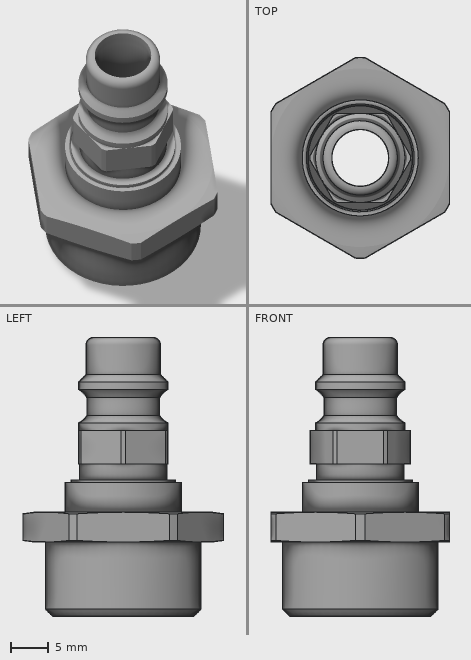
import cadquery as cq
import math

bore_diameter = 7.6

total_height = 37.5
tip_diameter = 10.0
tip_rounding = 1.0
collar_diameter = 12.0
collar_top = 31.5
collar_bottom = 30.5
groove_diameter = 9.75
groove_top = 29.4
groove_bottom = 27.0
groove_blend_radius = 3.0
shoulder_top = 26.0

small_hex_bottom = 20.5
small_hex_top = 25.0
small_hex_flats = 12.0
small_hex_corners = 13.5

neck_diameter = 11.8
flange_diameter = 14.0
flange_top = 18.35

sleeve_diameter = 15.6
sleeve_top = 18.0
sleeve_bore_diameter = 14.1
sleeve_mouth_diameter = 14.5

large_hex_bottom = 10.0
large_hex_top = 14.0
large_hex_flats = 24.0
large_hex_corners = 27.0
large_hex_chamfer_angle = 8.0
large_hex_turn = 30.0

thread_diameter = 20.95
thread_chamfer = 1.0


def cylinder(diameter, bottom, top):
    """Upright cylinder on the Z axis between two heights."""
    return cq.Workplane("XY").workplane(offset=bottom).circle(diameter / 2).extrude(top - bottom)


def hexagon(across_flats, corner_diameter, bottom, top):
    """Upright hexagon with a corner on +X, its corners turned down to a diameter."""
    sharp_diameter = across_flats / math.cos(math.pi / 6)
    prism = cq.Workplane("XY").workplane(offset=bottom).polygon(6, sharp_diameter).extrude(top - bottom)
    return prism.intersect(cylinder(corner_diameter, bottom, top))


def nipple():
    """Turned plug profile: rounded tip, coned collar, and a groove with concave ends."""
    tip_radius = tip_diameter / 2
    collar_radius = collar_diameter / 2
    groove_radius = groove_diameter / 2
    collar_cone = collar_radius - tip_radius
    profile = (
        cq.Workplane("XZ")
        .moveTo(0, small_hex_top)
        .lineTo(collar_radius, small_hex_top)
        .lineTo(collar_radius, shoulder_top)
        .radiusArc((groove_radius, groove_bottom), groove_blend_radius)
        .lineTo(groove_radius, groove_top)
        .radiusArc((collar_radius, collar_bottom), groove_blend_radius)
        .lineTo(collar_radius, collar_top)
        .lineTo(tip_radius, collar_top + collar_cone)
        .lineTo(tip_radius, total_height - tip_rounding)
        .radiusArc((tip_radius - tip_rounding, total_height), -tip_rounding)
        .lineTo(0, total_height)
        .close()
    )
    return profile.revolve(360, (0, 0, 0), (0, 1, 0))


def large_hexagon():
    """Large hexagon with flats facing +X and -X, both faces chamfered outside the flats circle."""
    blank = hexagon(large_hex_flats, large_hex_corners, large_hex_bottom, large_hex_top)
    flats_radius = large_hex_flats / 2
    corner_radius = large_hex_corners / 2
    drop = (corner_radius - flats_radius) * math.tan(math.radians(large_hex_chamfer_angle))
    envelope = (
        cq.Workplane("XZ")
        .moveTo(0, large_hex_bottom)
        .lineTo(flats_radius, large_hex_bottom)
        .lineTo(corner_radius, large_hex_bottom + drop)
        .lineTo(corner_radius, large_hex_top - drop)
        .lineTo(flats_radius, large_hex_top)
        .lineTo(0, large_hex_top)
        .close()
        .revolve(360, (0, 0, 0), (0, 1, 0))
    )
    return blank.rotate((0, 0, 0), (0, 0, 1), large_hex_turn).intersect(envelope)


def threaded_end():
    """Plain cylinder for the thread, chamfered at its free end."""
    return cylinder(thread_diameter, 0, large_hex_bottom).faces("<Z").chamfer(thread_chamfer)


def sleeve():
    """Sleeve on the large hexagon, closed at the foot of its mouth chamfer where the flange joins it."""
    sleeve_bore_radius = sleeve_bore_diameter / 2
    mouth_radius = sleeve_mouth_diameter / 2
    mouth_depth = mouth_radius - sleeve_bore_radius
    profile = (
        cq.Workplane("XZ")
        .moveTo(0, large_hex_top)
        .lineTo(sleeve_diameter / 2, large_hex_top)
        .lineTo(sleeve_diameter / 2, sleeve_top)
        .lineTo(mouth_radius, sleeve_top)
        .lineTo(sleeve_bore_radius, sleeve_top - mouth_depth)
        .lineTo(0, sleeve_top - mouth_depth)
        .close()
    )
    return profile.revolve(360, (0, 0, 0), (0, 1, 0))


flange = cylinder(flange_diameter, large_hex_top, flange_top)
neck = cylinder(neck_diameter, flange_top, small_hex_bottom)
small_hexagon = hexagon(small_hex_flats, small_hex_corners, small_hex_bottom, small_hex_top)
bore = cylinder(bore_diameter, 0, total_height)

result = (
    threaded_end()
    .union(large_hexagon())
    .union(sleeve())
    .union(flange)
    .union(neck)
    .union(small_hexagon)
    .union(nipple())
    .cut(bore)
)